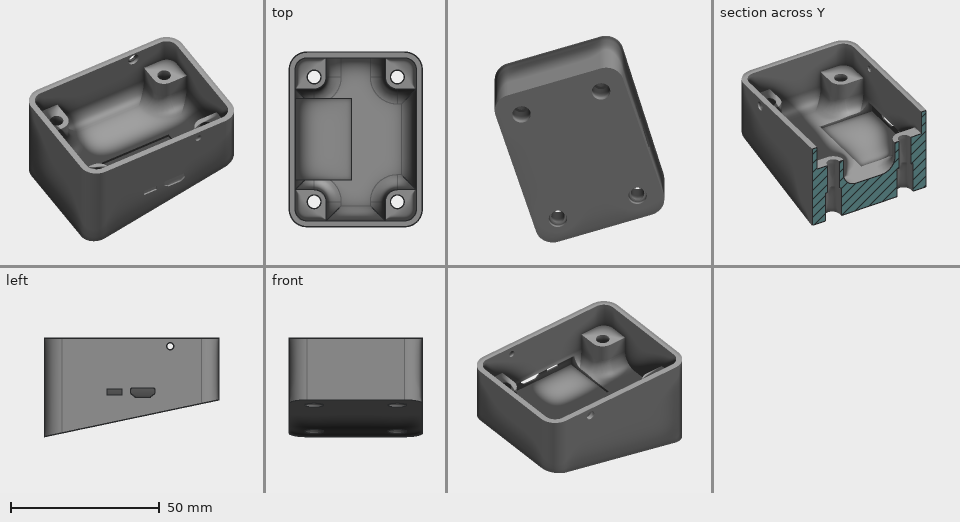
import cadquery as cq

length_x = 44.75
length_y = 58.75
height = 33.2
front_height = 20.8
wall = 2.0
outer_radius = 6.0
inner_radius = outer_radius - wall
inner_x = length_x - 2 * wall
inner_y = length_y - 2 * wall

floor_z = height - 20.0
floor_fillet = 5.05
boss_top_z = height - 8.85
boss_radius = 4.05
hole_x = 14.0
hole_y = 20.95
hole_diameter = 4.5
counterbore_diameter = 6.2
counterbore_top_z = floor_z

recess_skin = 0.5
recess_x_min = -length_x / 2 + recess_skin
recess_top_z = height - 16.4
recess_x_max = -1.35
recess_width_y = 27.3
recess_depth = 1.0

cross_hole_y = -12.9
cross_hole_z = height - 2.75
small_hole_diameter = 2.3
large_hole_diameter = 3.1
large_counterbore_diameter = 4.1
large_counterbore_depth = 1.25
slot_y = 5.8
slot_z = height - 18.15
slot_width = 5.0
slot_height = 1.9
port_y = -3.7
port_top_z = height - 16.8
port_height = 3.1
port_half_width = 4.05
port_base_half_width = 2.4
port_side_height = 1.9
port_corner_radius = 0.45
opening_depth = wall


def upright_cylinder(x, y, diameter, z_bottom, z_top):
    return cq.Workplane("XY", origin=(x, y, z_bottom)).circle(diameter / 2).extrude(z_top - z_bottom)


def cross_cylinder(x_start, diameter, depth):
    plane = cq.Workplane("YZ", origin=(x_start, cross_hole_y, cross_hole_z))
    return plane.circle(diameter / 2).extrude(depth)


def make_body():
    block = cq.Workplane("XY").rect(length_x, length_y).extrude(height).edges("|Z").fillet(outer_radius)
    half_y = length_y / 2
    wedge = (
        cq.Workplane("YZ", origin=(-length_x / 2, 0, 0))
        .polyline([(-half_y, 0), (half_y, 0), (-half_y, height - front_height)])
        .close()
        .extrude(length_x)
    )
    return block.cut(wedge)


def make_boss(x_side, y_side):
    """Corner block whose only rounded upright edge is concentric with its screw hole."""
    size_x = length_x / 2 - hole_x + boss_radius
    size_y = length_y / 2 - hole_y + boss_radius
    center = (x_side * (length_x - size_x) / 2, y_side * (length_y - size_y) / 2, floor_z)
    inward_edge = ("<X" if x_side > 0 else ">X", "<Y" if y_side > 0 else ">Y")
    block = cq.Workplane("XY", origin=center).rect(size_x, size_y).extrude(boss_top_z - floor_z)
    return block.faces(inward_edge[0]).edges("|Z").edges(inward_edge[1]).fillet(boss_radius)


def make_cavity():
    cavity = cq.Workplane("XY", origin=(0, 0, floor_z)).rect(inner_x, inner_y).extrude(height - floor_z)
    cavity = cavity.edges("|Z").fillet(inner_radius)
    for x_side in (-1, 1):
        for y_side in (-1, 1):
            cavity = cavity.cut(make_boss(x_side, y_side))
    return cavity.faces("<Z").edges("not(>Y)").fillet(floor_fillet)


def make_recess():
    size_x = recess_x_max - recess_x_min
    center = ((recess_x_min + recess_x_max) / 2, 0, floor_z - recess_depth)
    return cq.Workplane("XY", origin=center).rect(size_x, recess_width_y).extrude(recess_top_z - center[2])


def make_slot():
    plane = cq.Workplane("YZ", origin=(-length_x / 2, slot_y, slot_z))
    return plane.rect(slot_width, slot_height).extrude(opening_depth)


def make_port():
    right_side = [
        (port_base_half_width, -port_height),
        (port_half_width, -port_side_height),
        (port_half_width, 0),
    ]
    left_side = [(-y, z) for y, z in reversed(right_side)]
    plane = cq.Workplane("YZ", origin=(-length_x / 2, port_y, port_top_z))
    port = plane.polyline(right_side + left_side).close().extrude(opening_depth)
    return port.faces("<Y or >Y").edges("|X").fillet(port_corner_radius)


result = make_body().cut(make_cavity()).cut(make_recess()).cut(make_slot()).cut(make_port())

for x in (-hole_x, hole_x):
    for y in (-hole_y, hole_y):
        result = result.cut(upright_cylinder(x, y, hole_diameter, 0, height))
        result = result.cut(upright_cylinder(x, y, counterbore_diameter, 0, counterbore_top_z))

result = result.cut(cross_cylinder(-length_x / 2, small_hole_diameter, wall))
result = result.cut(cross_cylinder(length_x / 2 - wall, large_hole_diameter, wall))
result = result.cut(cross_cylinder(length_x / 2 - wall, large_counterbore_diameter, large_counterbore_depth))